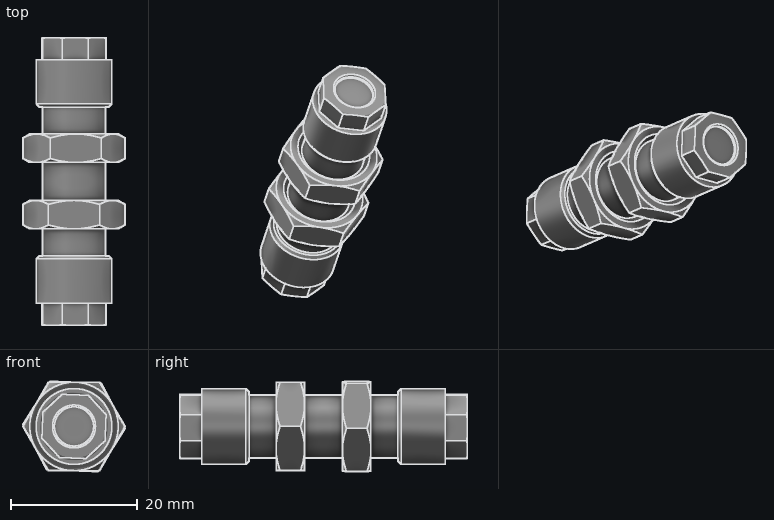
import cadquery as cq
import math


TOTAL_LENGTH = 45.5
SHAFT_RADIUS = 5.0
SLEEVE_RADIUS = 6.0
SLEEVE_LENGTH = 7.5
SLEEVE_CHAMFER = 0.5
OCTAGON_SIDES = 8
OCTAGON_ACROSS_FLATS = 10.0
OCTAGON_LENGTH = 3.5
OCTAGON_CONE_ANGLE = 15.0
RECESS_RADIUS = 3.1
RECESS_DEPTH = 0.6
RECESS_CHAMFER = 0.3

NUT_SIDES = 6
NUT_ACROSS_FLATS = 14.0
NUT_THICKNESS = 4.5
NUT_GAP = 6.0
NUT_CONE_ANGLE = 30.0
NUT_BORE_CHAMFER = 0.8

TURN = 2.28

END_FACE = TOTAL_LENGTH / 2
SLEEVE_OUTER = END_FACE - OCTAGON_LENGTH
SLEEVE_INNER = SLEEVE_OUTER - SLEEVE_LENGTH
NUT_INNER = NUT_GAP / 2


def revolve_about_y(profile):
    """Solid of revolution about Y from (radius, y) points."""
    return cq.Workplane("XY").polyline(profile).close().revolve(360, (0, 0, 0), (0, 1, 0))


def corner_radius(sides, across_flats):
    return across_flats / 2 / math.cos(math.pi / sides)


def prism_along_y(sides, across_flats, y_start, length, first_corner):
    """Regular prism running along +Y, with one corner at the angle first_corner from +X."""
    radius = corner_radius(sides, across_flats)
    corners = []
    for i in range(sides):
        angle = math.radians(first_corner + i * 360 / sides)
        corners.append((radius * math.cos(angle), radius * math.sin(angle)))
    return cq.Workplane("XZ", origin=(0, y_start, 0)).polyline(corners).close().extrude(-length)


def coned_blank(sides, across_flats, length, cone_angle):
    """Round blank centred on the origin, whose coned ends trim the corners of a prism."""
    face_radius = across_flats / 2
    outer_radius = corner_radius(sides, across_flats)
    cone_length = (outer_radius - face_radius) * math.tan(math.radians(cone_angle))
    half = length / 2
    return revolve_about_y([
        (0, -half),
        (face_radius, -half),
        (outer_radius, cone_length - half),
        (outer_radius, half - cone_length),
        (face_radius, half),
        (0, half),
    ])


def make_shaft():
    return cq.Workplane("XZ").circle(SHAFT_RADIUS).extrude(SLEEVE_OUTER, both=True)


def make_sleeve(side):
    """Round sleeve, chamfered where it faces the nuts; side is -1 or +1 along Y."""
    return revolve_about_y([
        (0, side * SLEEVE_INNER),
        (SLEEVE_RADIUS - SLEEVE_CHAMFER, side * SLEEVE_INNER),
        (SLEEVE_RADIUS, side * (SLEEVE_INNER + SLEEVE_CHAMFER)),
        (SLEEVE_RADIUS, side * SLEEVE_OUTER),
        (0, side * SLEEVE_OUTER),
    ])


def make_octagon(side):
    """Octagonal end with the corners of its outer face coned off."""
    y_start = min(side * SLEEVE_OUTER, side * END_FACE)
    first_corner = 180 / OCTAGON_SIDES - TURN
    octagon = prism_along_y(OCTAGON_SIDES, OCTAGON_ACROSS_FLATS, y_start, OCTAGON_LENGTH, first_corner)
    blank = coned_blank(OCTAGON_SIDES, OCTAGON_ACROSS_FLATS, TOTAL_LENGTH, OCTAGON_CONE_ANGLE)
    return octagon.intersect(blank)


def make_recess(side):
    """Shallow round recess with a chamfered rim, cut into the end face."""
    floor = side * (END_FACE - RECESS_DEPTH)
    return revolve_about_y([
        (0, floor),
        (RECESS_RADIUS, floor),
        (RECESS_RADIUS, side * (END_FACE - RECESS_CHAMFER)),
        (RECESS_RADIUS + RECESS_CHAMFER, side * END_FACE),
        (0, side * END_FACE),
    ])


def make_fitting():
    """One solid: shaft, and on each side a sleeve and a recessed octagonal end."""
    body = make_shaft()
    for side in (-1, 1):
        body = body.union(make_sleeve(side))
        body = body.union(make_octagon(side))
        body = body.cut(make_recess(side))
    return body


def make_bore():
    """Nut bore that fits the shaft, countersunk at both faces, centred on the origin."""
    half = NUT_THICKNESS / 2
    rim_radius = SHAFT_RADIUS + NUT_BORE_CHAMFER
    return revolve_about_y([
        (0, -half),
        (rim_radius, -half),
        (SHAFT_RADIUS, NUT_BORE_CHAMFER - half),
        (SHAFT_RADIUS, half - NUT_BORE_CHAMFER),
        (rim_radius, half),
        (0, half),
    ])


def make_nut(y_middle, turn):
    """Hexagon nut with coned corners, turned clockwise as seen from -Y."""
    nut = prism_along_y(NUT_SIDES, NUT_ACROSS_FLATS, -NUT_THICKNESS / 2, NUT_THICKNESS, -turn)
    nut = nut.intersect(coned_blank(NUT_SIDES, NUT_ACROSS_FLATS, NUT_THICKNESS, NUT_CONE_ANGLE))
    nut = nut.cut(make_bore())
    return nut.translate((0, y_middle, 0))


fitting = make_fitting()

nut_middle = NUT_INNER + NUT_THICKNESS / 2
nuts = [make_nut(side * nut_middle, turn) for side, turn in ((-1, 0), (1, TURN))]

result = cq.Compound.makeCompound([fitting.solids().val(), *[nut.solids().val() for nut in nuts]])